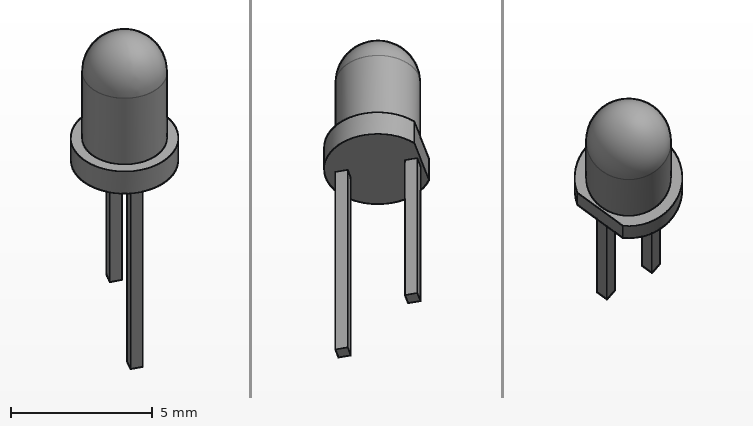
import cadquery as cq

total_height = 13.79

lens_diameter = 3.0
lens_radius = lens_diameter / 2
barrel_height = 3.0
flange_diameter = 3.8
flange_radius = flange_diameter / 2
flange_height = 1.0
flange_width = 3.5
flat_x = flange_radius - flange_width
housing_height = flange_height + barrel_height + lens_radius

lead_side = 0.45
lead_spacing = 2.54
short_lead_length = 6.29
long_lead_length = total_height - housing_height


def make_flange():
    """Round flange with a flat on the -X side, above the short lead."""
    disc = cq.Workplane("XY").circle(flange_radius).extrude(flange_height)
    keep = (
        cq.Workplane("XY")
        .box(flange_width, flange_diameter, flange_height, centered=(False, True, False))
        .translate((flat_x, 0, 0))
    )
    return disc.intersect(keep)


def make_lens():
    """Barrel capped by a hemisphere, revolved about the Z axis."""
    barrel_top = flange_height + barrel_height
    dome_middle = lens_radius * 0.5 ** 0.5
    return (
        cq.Workplane("XZ")
        .moveTo(0, flange_height)
        .lineTo(lens_radius, flange_height)
        .lineTo(lens_radius, barrel_top)
        .threePointArc((dome_middle, barrel_top + dome_middle), (0, housing_height))
        .close()
        .revolve(360, (0, 0, 0), (0, 1, 0))
    )


def make_lead(center_x, length):
    """Square lead whose top end touches the flange underside."""
    return (
        cq.Workplane("XY")
        .center(center_x, 0)
        .rect(lead_side, lead_side)
        .extrude(-length)
    )


housing = make_flange().union(make_lens())

lead_layout = [
    (-lead_spacing / 2, short_lead_length),
    (lead_spacing / 2, long_lead_length),
]
leads = [make_lead(center_x, length) for center_x, length in lead_layout]

result = cq.Compound.makeCompound([housing.val(), *[lead.val() for lead in leads]])